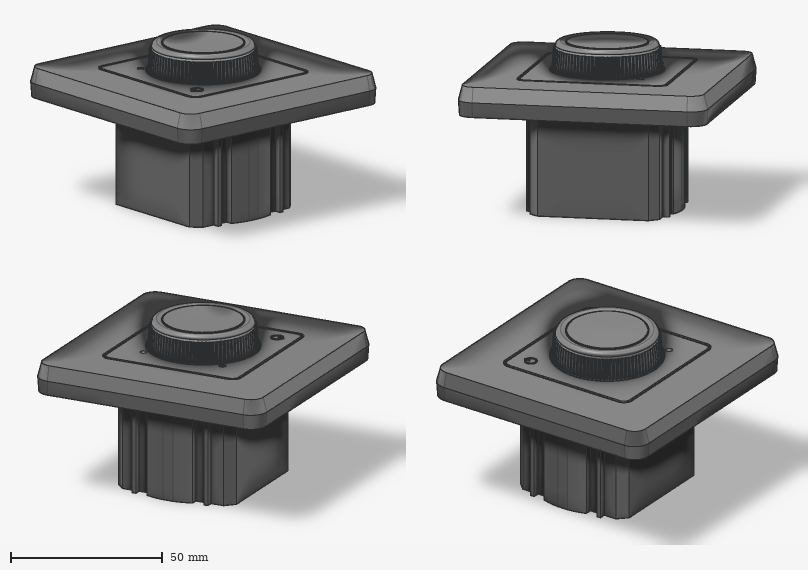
import cadquery as cq
import math

PLATE_SIZE = 84.0
PLATE_BACK_SIZE = 83.3
PLATE_FRONT_SIZE = 81.4
PLATE_HEIGHT = 10.0
RIM_HEIGHT = PLATE_HEIGHT / 2
CORNER_CENTRE = 36.2

GROOVE_OUTER_SIZE = 51.0
GROOVE_FLOOR_WIDTH = 0.4
GROOVE_DEPTH = 0.3
GROOVE_OUTER_RADIUS = 3.4

HOUSING_DEPTH = 36.0
HOUSING_SIZE = 43.6
HOUSING_CHAMFER = 3.1
SIDE_RADIUS = 25.6
BULGE_HALF_WIDTH = 8.45
BULGE_FLAT_HALF_WIDTH = 1.9
RIB_REACH = 24.05
RIB_INNER_Y = 12.6
RIB_OUTER_Y = 14.0

CATCH_HALF_WIDTH = 1.65
CATCH_TOP_GAP = 0.7
CATCH_HEIGHT = 3.6
CATCH_REACH = 0.35

KNOB_FOOT_RADIUS = 19.0
KNOB_FOOT_HEIGHT = 0.5
KNOB_RIM_HEIGHT = 0.15
KNOB_BASE_RADIUS = 18.25
KNOB_GRIP_TOP_RADIUS = 17.75
KNOB_GRIP_TOP_Z = 17.3
CAP_BASE_RADIUS = 17.4
CAP_EDGE_RADIUS = 17.1
CAP_EDGE_Z = 18.1
CAP_ROUND_RADIUS = 1.45
CAP_FACE_RADIUS = 15.4
TOP_Z = 19.7
DISC_RADIUS = 13.4
DISC_EDGE_Z = 19.45
DISC_GAP_WIDTH = 0.35
DISC_GAP_DEPTH = 0.4
FLUTE_COUNT = 84
FLUTE_DEPTH = 0.6
FLUTE_MOUTH_SHARE = 0.75
FLUTE_ROOT_SHARE = 0.25

DOT_OFFSET = 14.6
DOT_RADIUS = 1.1
DOT_DOME_HEIGHT = 0.4
DOT_RECESS_DEPTH = 0.3
RING_OFFSET = 18.05
RING_OUTER_RADIUS = 2.1
RING_INNER_RADIUS = 1.7
RING_HEIGHT = 0.25
RING_BAR_WIDTH = 0.55
RING_BAR_LENGTH = 2.1
RING_BAR_OFFSET = 1.45


def rounded_square(size, radius, z):
    """Workplane at height z holding a centred square with round corners."""
    sketch = cq.Sketch().rect(size, size).vertices().fillet(radius)
    return cq.Workplane("XY", origin=(0, 0, z)).placeSketch(sketch)


def plate_outline(size, height):
    """Sketch of the plate at the given height, its corners centred on the shared corner axes."""
    corner_radius = size / 2 - CORNER_CENTRE
    sketch = cq.Sketch().rect(size, size).vertices().fillet(corner_radius)
    return sketch.moved(cq.Location(cq.Vector(0, 0, height)))


def make_plate():
    back = plate_outline(PLATE_BACK_SIZE, 0)
    rim = plate_outline(PLATE_SIZE, RIM_HEIGHT)
    front = plate_outline(PLATE_FRONT_SIZE, PLATE_HEIGHT)
    lower = cq.Workplane("XY").placeSketch(back, rim).loft(ruled=True)
    upper = cq.Workplane("XY").placeSketch(rim, front).loft(ruled=True)
    return lower.union(upper)


def make_insert_groove():
    """Square groove whose two walls slope at 45 degrees."""
    floor_z = PLATE_HEIGHT - GROOVE_DEPTH
    floor_outer_size = GROOVE_OUTER_SIZE - 2 * GROOVE_DEPTH
    floor_outer_radius = GROOVE_OUTER_RADIUS - GROOVE_DEPTH
    floor_inner_size = floor_outer_size - 2 * GROOVE_FLOOR_WIDTH
    floor_inner_radius = floor_outer_radius - GROOVE_FLOOR_WIDTH
    outer = rounded_square(floor_outer_size, floor_outer_radius, floor_z).extrude(GROOVE_DEPTH, taper=-45)
    inner = rounded_square(floor_inner_size, floor_inner_radius, floor_z).extrude(GROOVE_DEPTH, taper=45)
    return outer.cut(inner)


def bulge_flat_x():
    """Distance from the axis of the narrow flat down the middle of each bulge."""
    return math.sqrt(SIDE_RADIUS**2 - BULGE_FLAT_HALF_WIDTH**2)


def make_housing():
    bottom = cq.Workplane("XY", origin=(0, 0, -HOUSING_DEPTH))
    housing = bottom.rect(HOUSING_SIZE, HOUSING_SIZE).extrude(HOUSING_DEPTH)
    housing = housing.edges("|Z").chamfer(HOUSING_CHAMFER)
    flat_x = bulge_flat_x()
    bulge = bottom.circle(SIDE_RADIUS).extrude(HOUSING_DEPTH)
    bulge = bulge.intersect(bottom.rect(2 * flat_x, 2 * BULGE_HALF_WIDTH).extrude(HOUSING_DEPTH))
    housing = housing.union(bulge)
    rib_centre = (RIB_INNER_Y + RIB_OUTER_Y) / 2
    for y in (-rib_centre, rib_centre):
        rib = bottom.center(0, y).rect(2 * RIB_REACH, RIB_OUTER_Y - RIB_INNER_Y).extrude(HOUSING_DEPTH)
        housing = housing.union(rib)
    return housing


def make_catches():
    """Wedge catches with half-elliptic outlines, one on each bulge."""
    flat_x = bulge_flat_x()
    top_z = -CATCH_TOP_GAP
    bottom_z = top_z - CATCH_HEIGHT
    tongue = (
        cq.Workplane("YZ", origin=(-flat_x - CATCH_REACH, 0, top_z))
        .ellipseArc(CATCH_HALF_WIDTH, CATCH_HEIGHT, 180, 360, startAtCurrent=False)
        .close()
        .extrude(2 * (flat_x + CATCH_REACH))
    )
    wedge = (
        cq.Workplane("XZ", origin=(0, CATCH_HALF_WIDTH, 0))
        .moveTo(-flat_x - CATCH_REACH, top_z)
        .lineTo(flat_x + CATCH_REACH, top_z)
        .lineTo(flat_x, bottom_z)
        .lineTo(-flat_x, bottom_z)
        .close()
        .extrude(2 * CATCH_HALF_WIDTH)
    )
    return tongue.intersect(wedge)


def make_knob():
    foot_top_z = PLATE_HEIGHT + KNOB_FOOT_HEIGHT
    foot_rim_z = PLATE_HEIGHT + KNOB_RIM_HEIGHT
    round_centre = CAP_EDGE_RADIUS - CAP_ROUND_RADIUS
    face_sine = (round_centre - CAP_FACE_RADIUS) / CAP_ROUND_RADIUS
    face_slope = math.tan(math.asin(face_sine))
    face_z = CAP_EDGE_Z + CAP_ROUND_RADIUS * math.sqrt(1 - face_sine**2)
    gap_outer_radius = DISC_RADIUS + DISC_GAP_WIDTH
    gap_outer_z = face_z - (CAP_FACE_RADIUS - gap_outer_radius) * face_slope
    gap_floor_z = DISC_EDGE_Z - DISC_GAP_DEPTH
    round_middle = (
        round_centre + CAP_ROUND_RADIUS * math.sqrt(0.5),
        CAP_EDGE_Z + CAP_ROUND_RADIUS * math.sqrt(0.5),
    )
    body = (
        cq.Workplane("XZ")
        .moveTo(0, PLATE_HEIGHT)
        .lineTo(KNOB_FOOT_RADIUS, PLATE_HEIGHT)
        .lineTo(KNOB_FOOT_RADIUS, foot_rim_z)
        .lineTo(KNOB_BASE_RADIUS, foot_top_z)
        .lineTo(KNOB_GRIP_TOP_RADIUS, KNOB_GRIP_TOP_Z)
        .lineTo(CAP_BASE_RADIUS, KNOB_GRIP_TOP_Z)
        .lineTo(CAP_EDGE_RADIUS, CAP_EDGE_Z)
        .threePointArc(round_middle, (CAP_FACE_RADIUS, face_z))
        .lineTo(gap_outer_radius, gap_outer_z)
        .lineTo(gap_outer_radius, gap_floor_z)
        .lineTo(DISC_RADIUS, gap_floor_z)
        .lineTo(DISC_RADIUS, DISC_EDGE_Z)
        .lineTo(0, TOP_Z)
        .close()
        .revolve(360, (0, 0, 0), (0, 1, 0))
    )
    return body.cut(make_flutes())


def flute_section(radius, z):
    """Wire of one flute at height z, where the grip has the given radius."""
    spacing = radius * math.radians(360 / FLUTE_COUNT)
    outside = KNOB_FOOT_RADIUS + FLUTE_DEPTH
    root = radius - FLUTE_DEPTH
    mouth_half_width = spacing * FLUTE_MOUTH_SHARE / 2
    root_half_width = spacing * FLUTE_ROOT_SHARE / 2
    corners = [
        cq.Vector(outside, -mouth_half_width, z),
        cq.Vector(radius, -mouth_half_width, z),
        cq.Vector(root, -root_half_width, z),
        cq.Vector(root, root_half_width, z),
        cq.Vector(radius, mouth_half_width, z),
        cq.Vector(outside, mouth_half_width, z),
    ]
    return cq.Wire.makePolygon(corners, close=True)


def make_flutes():
    """Grooves around the grip, down to the plain rim of its foot, leaning inward with the cone of the grip."""
    bottom = flute_section(KNOB_BASE_RADIUS, PLATE_HEIGHT + KNOB_RIM_HEIGHT)
    top = flute_section(KNOB_GRIP_TOP_RADIUS, KNOB_GRIP_TOP_Z)
    flute = cq.Solid.makeLoft([bottom, top], True)
    axis_start = cq.Vector(0, 0, 0)
    axis_end = cq.Vector(0, 0, 1)
    flutes = [flute.rotate(axis_start, axis_end, 360 * i / FLUTE_COUNT) for i in range(FLUTE_COUNT)]
    return cq.Workplane(cq.Compound.makeCompound(flutes))


def make_dome():
    """Sphere sunk into the plate so that only a low dome stands out."""
    sphere_radius = (DOT_RADIUS**2 + DOT_DOME_HEIGHT**2) / (2 * DOT_DOME_HEIGHT)
    centre_z = PLATE_HEIGHT + DOT_DOME_HEIGHT - sphere_radius
    return cq.Workplane("XY", origin=(-DOT_OFFSET, DOT_OFFSET, centre_z)).sphere(sphere_radius)


def make_dot_recess():
    base = cq.Workplane("XY", origin=(-DOT_OFFSET, -DOT_OFFSET, PLATE_HEIGHT - DOT_RECESS_DEPTH))
    return base.circle(DOT_RADIUS).extrude(DOT_RECESS_DEPTH)


def make_ring():
    """Raised ring with a short bar across its -Y side."""
    base = cq.Workplane("XY", origin=(RING_OFFSET, -RING_OFFSET, PLATE_HEIGHT))
    ring = base.circle(RING_OUTER_RADIUS).circle(RING_INNER_RADIUS).extrude(RING_HEIGHT)
    bar = base.center(0, -RING_BAR_OFFSET).slot2D(RING_BAR_LENGTH, RING_BAR_WIDTH, 90).extrude(RING_HEIGHT)
    return ring.union(bar)


plate = make_plate().cut(make_insert_groove()).cut(make_dot_recess())
housing = make_housing().union(make_catches())
result = plate.union(housing).union(make_knob()).union(make_dome()).union(make_ring())